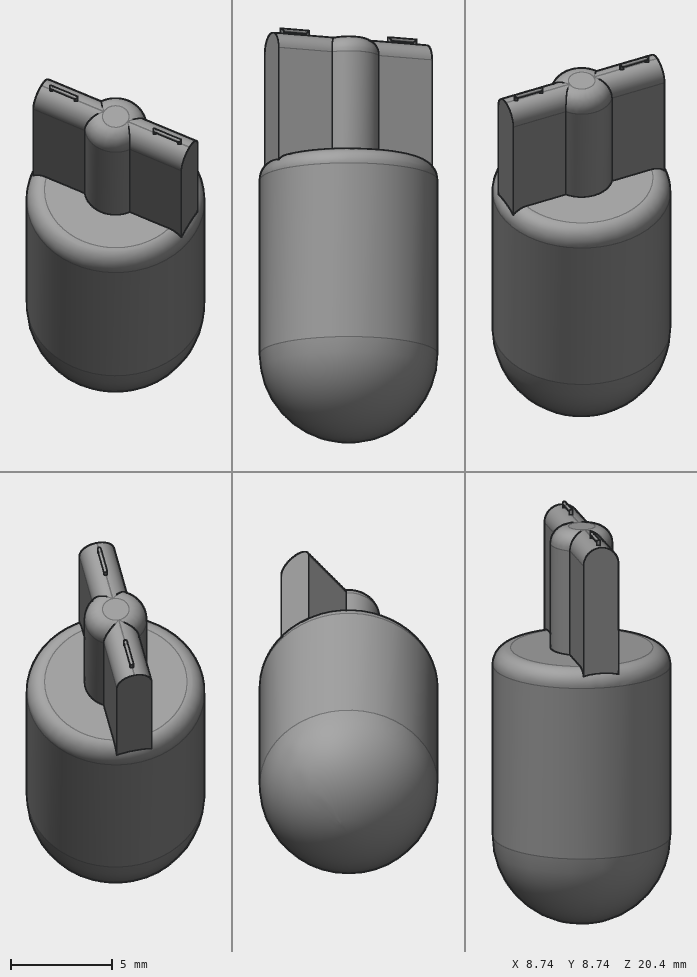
import cadquery as cq

overall_height = 20.37
bulb_diameter = 8.74
shoulder_height = 13.93
edge_round = 0.88
crest_height = 20.1
blade_length = 8.17
blade_thickness = 1.77
stem_radius = 1.53
wire_diameter = 0.18
staple_length = 1.53
staple_offset = 2.85
leg_embedment = 0.4

bulb_radius = bulb_diameter / 2
dome_height = bulb_radius
shoulder_spring = shoulder_height - edge_round
blade_root = shoulder_spring
leg_spacing = staple_length - wire_diameter
staple_axis_height = overall_height - wire_diameter / 2
leg_bottom = crest_height - leg_embedment


def make_bulb():
    """Cylinder with a hemispherical lower end and a rounded upper shoulder."""
    return (
        cq.Workplane("XZ")
        .moveTo(0, 0)
        .radiusArc((bulb_radius, dome_height), -bulb_radius)
        .lineTo(bulb_radius, shoulder_spring)
        .radiusArc((bulb_radius - edge_round, shoulder_height), -edge_round)
        .lineTo(0, shoulder_height)
        .close()
        .revolve(360, (0, 0), (0, 1))
    )


def make_blade():
    """Flat blade along X whose two top roundings leave a hairline flat along the crest."""
    return (
        cq.Workplane("XY", origin=(0, 0, blade_root))
        .rect(blade_length, blade_thickness)
        .extrude(crest_height - blade_root)
        .edges("|X and >Z")
        .fillet(edge_round)
    )


def make_stem():
    """Round stem with a rounded top, standing through the middle of the blade."""
    return (
        cq.Workplane("XY", origin=(0, 0, blade_root))
        .circle(stem_radius)
        .extrude(crest_height - blade_root)
        .faces(">Z")
        .edges()
        .fillet(edge_round)
    )


def make_staple(middle_x):
    """Round contact wire bent into a U with mitred corners, its legs pointing down."""
    left = middle_x - leg_spacing / 2
    right = middle_x + leg_spacing / 2
    path = (
        cq.Workplane("XZ")
        .moveTo(left, leg_bottom)
        .lineTo(left, staple_axis_height)
        .lineTo(right, staple_axis_height)
        .lineTo(right, leg_bottom)
    )
    return (
        cq.Workplane("XY", origin=(left, 0, leg_bottom))
        .circle(wire_diameter / 2)
        .sweep(path, transition="right")
    )


def make_glass(staples):
    """One-piece glass: bulb, blade and stem, with holes for the legs of the staples."""
    glass = make_bulb().union(make_blade()).union(make_stem())
    for staple in staples:
        glass = glass.cut(staple)
    return glass


contact_staples = [make_staple(side * staple_offset) for side in (-1, 1)]
glass = make_glass(contact_staples)

result = cq.Compound.makeCompound([glass.solids().val(), *[staple.val() for staple in contact_staples]])